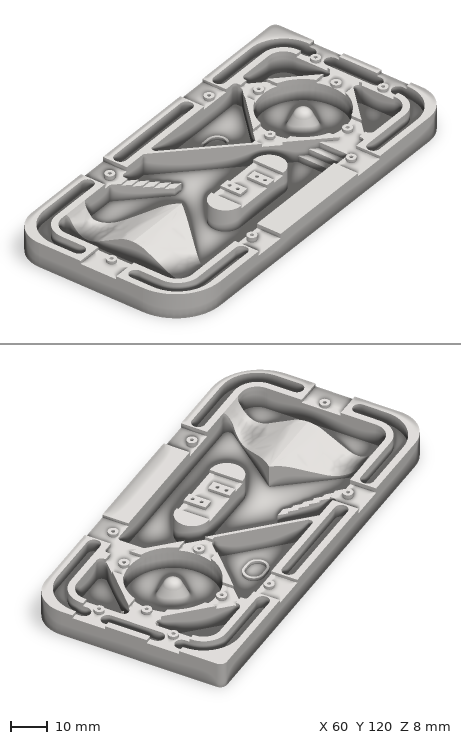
import cadquery as cq
import math

WIDTH = 60.0
LENGTH = 120.0
HEIGHT = 8.0
STEP = 1.0
FLOOR = STEP
PAD = HEIGHT - STEP
DEEP_PAD = HEIGHT - 1.5 * STEP
CORNER_SMALL = 2.0
CORNER = 10.0
CORNER_LARGE = 15.0

RIM = 8.0
INNER_X = WIDTH / 2 - RIM
INNER_Y = LENGTH / 2 - RIM
INNER_CORNER = 5.0
PAD_WIDTH = 10.0
SIDE_PAD_Y = 22.5
TOP_PAD_X = 11.4
BOTTOM_PAD_WIDTH = 12.0

GROOVE_WIDTH = 4.0
GROOVE_FLOOR = HEIGHT / 2
GROOVE_X = WIDTH / 2 - RIM / 2
GROOVE_Y = LENGTH / 2 - RIM / 2
GROOVE_BEND = INNER_CORNER + RIM / 2
SIDE_GROOVE_END = 30.0
TOP_GROOVE_END = 15.0
BOTTOM_GROOVE_END = 9.6
MIDDLE_GROOVE_HALF = 7.7
LEFT_GROOVE_HALF = 15.0

BOSS_DIAMETER = 3.0
SCREW_HOLE = 1.1
SCREW_HOLE_DEPTH = STEP
SIDE_BOSS_X = 24.0
END_BOSS_Y = 54.0
BOWL_BOSS_RADIUS = 15.0

BOWL_Y = 33.0
BOWL_DIAMETER = 27.0
DIAMOND = 21.0
DIAMOND_END = 20.0
CENTRE_STRIP = 15.6
KNOB_FOOT = 6.5
KNOB_CONE_BASE = 4.7
KNOB_CONE_BASE_Z = 2.0
KNOB_DOME_BASE = 2.8
KNOB_DOME_BASE_Z = 6.0

POCKET_CORNER = 1.5
SMALL_CORNER = 1.0
DIAGONAL = BOWL_Y - DIAMOND
WALL_SHIFT = 1.3
BRIDGE_Y = 31.5
LEFT_POCKET_BOTTOM = -7.0
LEFT_POCKET_TIP_X = -1.5
TERRACE_TOP = 24.0
TERRACE_DEPTH = 2.0
TERRACE_COUNT = 3
TERRACE_RISE = (PAD - FLOOR) / TERRACE_COUNT

LEDGE_X = -19.8
LEDGE_Y = -20.0
STAIR_END_X = -9.4
STAIR_SHIFT = LEDGE_Y - LEDGE_X
STAIR_WIDTH = 3.0
STAIR_COUNT = 5
STAIR_DROP = 0.6

RING_X = -14.2
RING_Y = 12.0
RING_WIDTH = 6.5
RING_LENGTH = 8.5
RING_WALL = 0.7

ISLAND_X = 8.5
ISLAND_Y = -3.8
ISLAND_WIDTH = 10.1
ISLAND_LENGTH = 29.9
SADDLE_LENGTH = 19.0
BLOCK_LENGTH = 6.7
BLOCK_WIDTH = 3.2
BLOCK_Y = 3.8
HOLE_SPACING = 2.8
HOLE_INSET = 1.9

RAMP_TIP_Y = -22.2
RAMP_FRONT_Y = -44.4
RAMP_SLOPE = 0.8
RAMP_LEFT_Y = -37.2
SLOPE_X = 8.3
SLOPE_Z = 4.9
VALLEY_X = 15.4
VALLEY_Z = 2.0


def box(x0, x1, y0, y1, z0, z1):
    return cq.Workplane("XY").box(x1 - x0, y1 - y0, z1 - z0, centered=False).translate((x0, y0, z0))


def prism(points, z0, z1):
    return cq.Workplane("XY", origin=(0, 0, z0)).polyline(points).close().extrude(z1 - z0)


def cylinder(x, y, diameter, z0, z1):
    return cq.Workplane("XY", origin=(x, y, z0)).circle(diameter / 2).extrude(z1 - z0)


def oval(x, y, width, length, z0, z1):
    return cq.Workplane("XY", origin=(x, y, z0)).slot2D(length, width, 90).extrude(z1 - z0)


def round_edge(solid, x, y, radius):
    """Round the vertical edge that passes through (x, y)."""
    return solid.edges(cq.selectors.NearestToPointSelector((x, y, (FLOOR + HEIGHT) / 2))).fillet(radius)


def tray():
    body = box(-WIDTH / 2, WIDTH / 2, -LENGTH / 2, LENGTH / 2, 0, HEIGHT)
    body = body.edges("|Z and <X and >Y").fillet(CORNER_SMALL)
    body = body.edges("|Z and >X and <Y").fillet(CORNER_LARGE)
    body = body.edges("|Z and >X and >Y").fillet(CORNER)
    return body.edges("|Z and <X and <Y").fillet(CORNER)


def corner_groove(side, end, x_end):
    """L-shaped groove around one rim corner; side and end are -1 or 1."""
    bend_x = GROOVE_X - GROOVE_BEND
    bend_y = GROOVE_Y - GROOVE_BEND
    diagonal = GROOVE_BEND * math.sqrt(0.5)
    path = (
        cq.Workplane("XY", origin=(0, 0, GROOVE_FLOOR))
        .moveTo(side * GROOVE_X, end * SIDE_GROOVE_END)
        .lineTo(side * GROOVE_X, end * bend_y)
        .threePointArc(
            (side * (bend_x + diagonal), end * (bend_y + diagonal)), (side * bend_x, end * GROOVE_Y)
        )
        .lineTo(side * x_end, end * GROOVE_Y)
    )
    return path.offset2D(GROOVE_WIDTH / 2).extrude(HEIGHT - GROOVE_FLOOR)


def grooves():
    cut = oval(-GROOVE_X, 0, GROOVE_WIDTH, 2 * LEFT_GROOVE_HALF + GROOVE_WIDTH, GROOVE_FLOOR, HEIGHT)
    middle = cq.Workplane("XY", origin=(0, GROOVE_Y, GROOVE_FLOOR))
    cut = cut.add(
        middle.slot2D(2 * MIDDLE_GROOVE_HALF + GROOVE_WIDTH, GROOVE_WIDTH).extrude(HEIGHT - GROOVE_FLOOR)
    )
    for side in (-1, 1):
        cut = cut.add(corner_groove(side, 1, TOP_GROOVE_END))
        cut = cut.add(corner_groove(side, -1, BOTTOM_GROOVE_END))
    return cut.combine()


def rim_pads():
    half = PAD_WIDTH / 2
    cut = box(-BOTTOM_PAD_WIDTH / 2, BOTTOM_PAD_WIDTH / 2, -LENGTH / 2, -INNER_Y, PAD, HEIGHT)
    for side in (-1, 1):
        x0, x1 = sorted((side * INNER_X, side * WIDTH / 2))
        cut = cut.union(box(x0, x1, SIDE_PAD_Y - half, SIDE_PAD_Y + half, PAD, HEIGHT))
        cut = cut.union(box(x0, x1, -SIDE_PAD_Y - half, -SIDE_PAD_Y + half, DEEP_PAD, HEIGHT))
        pad_x = side * TOP_PAD_X
        cut = cut.union(box(pad_x - half, pad_x + half, INNER_Y, LENGTH / 2, PAD, HEIGHT))
    return cut


def bowl_pads():
    """Low cross through the bowl frame, joined to the strip behind it and the area at its right."""
    half = PAD_WIDTH / 2
    groove_edge = GROOVE_Y - GROOVE_WIDTH / 2
    cut = box(-half, half, BOWL_Y - DIAMOND_END, groove_edge, PAD, HEIGHT)
    cut = cut.union(box(-CENTRE_STRIP / 2, CENTRE_STRIP / 2, INNER_Y, groove_edge, PAD, HEIGHT))
    cut = cut.union(box(-DIAMOND_END, DIAMOND_END, BOWL_Y - half, BOWL_Y + half, PAD, HEIGHT))
    front_y = TERRACE_TOP - SMALL_CORNER
    right = prism(
        [(front_y - DIAGONAL, front_y), (INNER_X, front_y),
         (INNER_X, BRIDGE_Y), (BRIDGE_Y - DIAGONAL, BRIDGE_Y)],
        PAD, HEIGHT,
    )
    right = right.edges("|Z and >X and >Y").fillet(SMALL_CORNER)
    return cut.union(right)


def top_pocket(side):
    """Triangular pocket between a rim corner and the bowl frame."""
    tip_x = BOWL_Y + DIAMOND - INNER_Y
    tip_y = BOWL_Y + DIAMOND - INNER_X
    corners = [(side * INNER_X, INNER_Y), (side * tip_x, INNER_Y), (side * INNER_X, tip_y)]
    pocket = prism(corners, FLOOR, HEIGHT)
    pocket = round_edge(pocket, *corners[0], INNER_CORNER)
    for corner in corners[1:]:
        pocket = round_edge(pocket, *corner, POCKET_CORNER)
    return pocket


def left_pocket():
    wall = DIAGONAL + WALL_SHIFT
    corners = [
        (-INNER_X, BRIDGE_Y),
        (DIAGONAL - BRIDGE_Y, BRIDGE_Y),
        (LEFT_POCKET_TIP_X, DIAGONAL - LEFT_POCKET_TIP_X),
        (LEFT_POCKET_TIP_X, LEFT_POCKET_TIP_X + wall),
        (LEFT_POCKET_BOTTOM - wall, LEFT_POCKET_BOTTOM),
        (-INNER_X, LEFT_POCKET_BOTTOM),
    ]
    pocket = prism(corners, FLOOR, HEIGHT)
    for corner in (corners[0], corners[-1]):
        pocket = round_edge(pocket, *corner, SMALL_CORNER)
    ring = oval(RING_X, RING_Y, RING_WIDTH, RING_LENGTH, FLOOR, FLOOR + STEP).cut(
        oval(RING_X, RING_Y, RING_WIDTH - 2 * RING_WALL, RING_LENGTH - 2 * RING_WALL, FLOOR, FLOOR + STEP)
    )
    return pocket.cut(ring)


def main_pocket_level(index):
    """One terrace of the main pocket, counted down from the shallow pad; the last is the floor."""
    top_y = TERRACE_TOP - index * TERRACE_DEPTH
    corners = [
        (INNER_X, top_y),
        (top_y - DIAGONAL, top_y),
        (-INNER_X, DIAGONAL - INNER_X),
        (-INNER_X, -INNER_Y),
        (INNER_X, -INNER_Y),
    ]
    pocket = prism(corners, PAD - (index + 1) * TERRACE_RISE, HEIGHT)
    pocket = round_edge(pocket, *corners[0], SMALL_CORNER)
    for corner in corners[3:]:
        pocket = round_edge(pocket, *corner, INNER_CORNER)
    return pocket


def main_pocket():
    pocket = main_pocket_level(0)
    for index in range(1, TERRACE_COUNT):
        pocket = pocket.union(main_pocket_level(index))
    return pocket


def stair():
    """Ledge level with the deep pad, then treads that go down along the diagonal."""
    lower_shift = STAIR_SHIFT - STAIR_WIDTH
    ledge = (
        cq.Workplane("XY")
        .moveTo(-INNER_X, LEDGE_Y + SMALL_CORNER)
        .radiusArc((SMALL_CORNER - INNER_X, LEDGE_Y), -SMALL_CORNER)
        .lineTo(LEDGE_X, LEDGE_Y)
        .lineTo(LEDGE_X, LEDGE_X + lower_shift)
        .lineTo(-INNER_X, -INNER_X + lower_shift)
        .close()
        .extrude(DEEP_PAD)
    )
    tread = (STAIR_END_X - LEDGE_X) / STAIR_COUNT
    for index in range(STAIR_COUNT):
        x0 = LEDGE_X + index * tread
        x1 = x0 + tread
        corners = [
            (x0, x0 + STAIR_SHIFT), (x1, x1 + STAIR_SHIFT), (x1, x1 + lower_shift), (x0, x0 + lower_shift)
        ]
        ledge = ledge.union(prism(corners, 0, DEEP_PAD - (index + 1) * STAIR_DROP))
    return ledge


def island():
    """Long oval with a lowered middle that carries two blocks with two holes each."""
    saddle = HEIGHT - STEP
    half = ISLAND_WIDTH / 2
    body = oval(ISLAND_X, ISLAND_Y, ISLAND_WIDTH, ISLAND_LENGTH, 0, HEIGHT)
    body = body.cut(
        box(ISLAND_X - half, ISLAND_X + half,
            ISLAND_Y - SADDLE_LENGTH / 2, ISLAND_Y + SADDLE_LENGTH / 2, saddle, HEIGHT)
    )
    for side in (-1, 1):
        x0, x1 = sorted((ISLAND_X + side * half, ISLAND_X + side * (half - BLOCK_LENGTH)))
        y = ISLAND_Y + side * BLOCK_Y
        body = body.union(box(x0, x1, y - BLOCK_WIDTH / 2, y + BLOCK_WIDTH / 2, 0, HEIGHT))
        for inset in (HOLE_INSET, HOLE_INSET + HOLE_SPACING):
            body = body.cut(cylinder(ISLAND_X + side * (half - inset), y, SCREW_HOLE, saddle, HEIGHT))
    return body


def ramp():
    """Block with a wavy top: a crest at x = 0 and a valley towards each side wall."""
    wave_points = [(0, HEIGHT), (SLOPE_X, SLOPE_Z), (VALLEY_X, VALLEY_Z), (INNER_X, HEIGHT)]
    wave_directions = [(1, 0), (2, -1), (1, 0), (1, 2)]
    half = (
        cq.Workplane("XZ", origin=(0, -INNER_Y, 0))
        .moveTo(0, 0)
        .lineTo(*wave_points[0])
        .spline(wave_points[1:], tangents=wave_directions, includeCurrent=True)
        .lineTo(INNER_X, 0)
        .close()
        .extrude(-INNER_Y - RAMP_TIP_Y)
    )
    right_y = RAMP_TIP_Y - RAMP_SLOPE * INNER_X
    left_x = (RAMP_LEFT_Y - RAMP_TIP_Y) / RAMP_SLOPE
    right_corner = (INNER_X, right_y)
    left_corner = (-INNER_X, RAMP_LEFT_Y)
    behind = prism(
        [(0, RAMP_TIP_Y), right_corner, (INNER_X, 0), (-INNER_X, 0), left_corner, (left_x, RAMP_LEFT_Y)],
        FLOOR, HEIGHT,
    )
    behind = round_edge(behind, *right_corner, POCKET_CORNER)
    behind = round_edge(behind, *left_corner, SMALL_CORNER)
    front = box(-INNER_X, INNER_X, -INNER_Y, RAMP_FRONT_Y, FLOOR, HEIGHT)
    front = front.edges("|Z and >Y").fillet(SMALL_CORNER)
    return half.union(half.mirror("YZ")).cut(behind).cut(front)


def knob():
    """Cone with a round dome on top and a foot that flows into the bowl floor."""
    dome_rise = HEIGHT - KNOB_DOME_BASE_Z
    dome_radius = (KNOB_DOME_BASE**2 + dome_rise**2) / (2 * dome_rise)
    profile = (
        cq.Workplane("XZ")
        .moveTo(0, HEIGHT)
        .radiusArc((KNOB_DOME_BASE, KNOB_DOME_BASE_Z), dome_radius)
        .lineTo(KNOB_CONE_BASE, KNOB_CONE_BASE_Z)
        .tangentArcPoint((KNOB_FOOT, FLOOR), relative=False)
        .lineTo(KNOB_FOOT, 0)
        .lineTo(0, 0)
        .close()
    )
    return profile.revolve(360, (0, 0, 0), (0, 1, 0)).translate((0, BOWL_Y, 0))


def boss_places():
    places = [(0, -END_BOSS_Y), (0, BOWL_Y - BOWL_BOSS_RADIUS), (0, BOWL_Y + BOWL_BOSS_RADIUS)]
    for side in (-1, 1):
        places.append((side * SIDE_BOSS_X, SIDE_PAD_Y))
        places.append((side * SIDE_BOSS_X, -SIDE_PAD_Y))
        places.append((side * TOP_PAD_X, END_BOSS_Y))
        places.append((side * BOWL_BOSS_RADIUS, BOWL_Y))
    return places


result = tray().cut(rim_pads()).cut(bowl_pads()).cut(grooves())
result = result.cut(top_pocket(-1)).cut(top_pocket(1)).cut(left_pocket())
result = result.cut(main_pocket().cut(stair()).cut(island()).cut(ramp()))
result = result.cut(cylinder(0, BOWL_Y, BOWL_DIAMETER, FLOOR, HEIGHT)).union(knob())
for boss_x, boss_y in boss_places():
    result = result.union(cylinder(boss_x, boss_y, BOSS_DIAMETER, DEEP_PAD, HEIGHT))
    result = result.cut(cylinder(boss_x, boss_y, SCREW_HOLE, HEIGHT - SCREW_HOLE_DEPTH, HEIGHT))